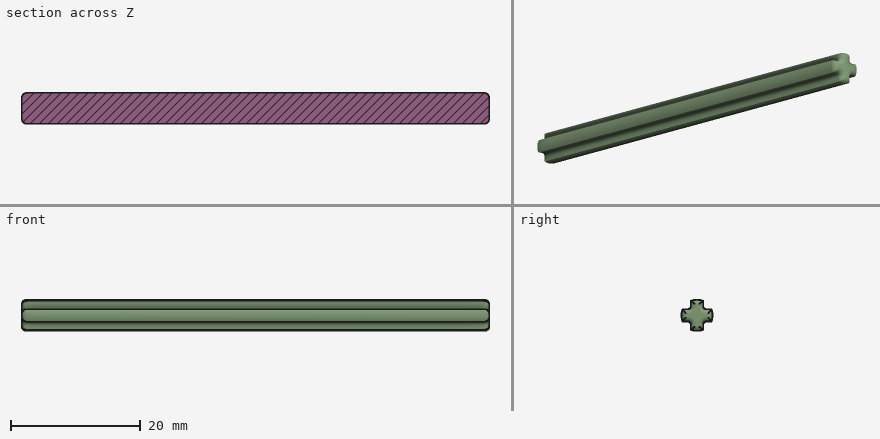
import cadquery as cq

length = 72.0
diameter = 4.8
arm_width = 1.95
inner_corner_radius = 0.4
end_rounding_radius = 0.8


def cross_bar():
    """Two crossed flat bars, trimmed to a cylinder so the arm tips are round."""
    upright = cq.Workplane("XY").box(length, arm_width, diameter)
    flat = cq.Workplane("XY").box(length, diameter, arm_width)
    envelope = cq.Workplane("YZ").circle(diameter / 2).extrude(length / 2, both=True)
    return upright.union(flat).intersect(envelope)


def round_inner_corners(bar):
    """Fillet the four lengthwise corners where neighbouring arms meet."""
    half_width = arm_width / 2
    for side_y in (-1, 1):
        for side_z in (-1, 1):
            corner = (0, side_y * half_width, side_z * half_width)
            nearest = cq.selectors.NearestToPointSelector(corner)
            bar = bar.edges("|X").edges(nearest).fillet(inner_corner_radius)
    return bar


def round_ends(bar):
    """Round the whole outline of both end faces."""
    return bar.faces("<X or >X").edges().fillet(end_rounding_radius)


result = round_ends(round_inner_corners(cross_bar()))